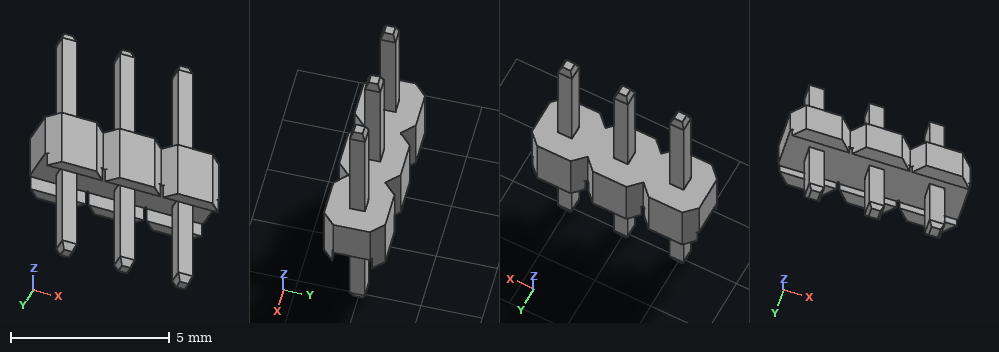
import cadquery as cq
import math

pin_count = 3
pitch = 2.0
housing_height = 2.0
corner_chamfer = 0.4

channel_width = 1.295
channel_depth = 0.5

pin_width = 0.5
pin_above_housing = 4.0
pin_below_housing = 2.8
tip_width = 0.3
taper_angle = 20
taper_length = (pin_width - tip_width) / 2 / math.tan(math.radians(taper_angle))

row_length = pin_count * pitch
pin_positions = [(i - (pin_count - 1) / 2) * pitch for i in range(pin_count)]


def make_cell(x):
    """One octagonal housing cell standing on Z = 0."""
    return (
        cq.Workplane("XY")
        .center(x, 0)
        .rect(pitch, pitch)
        .extrude(housing_height)
        .edges("|Z")
        .chamfer(corner_chamfer)
    )


def make_channel():
    """Cutter for the open-ended channel under the housing."""
    return cq.Workplane("XY").rect(row_length, channel_width).extrude(channel_depth)


def make_pin(x):
    """Square pin whose cross-section narrows towards both tips."""
    bottom = -pin_below_housing
    top = housing_height + pin_above_housing
    half_width = pin_width / 2
    half_tip = tip_width / 2
    profile = [
        (-half_tip, bottom),
        (half_tip, bottom),
        (half_width, bottom + taper_length),
        (half_width, top - taper_length),
        (half_tip, top),
        (-half_tip, top),
        (-half_width, top - taper_length),
        (-half_width, bottom + taper_length),
    ]
    front = cq.Workplane("XZ").polyline(profile).close().extrude(half_width, both=True)
    side = cq.Workplane("YZ").polyline(profile).close().extrude(half_width, both=True)
    return front.intersect(side).translate((x, 0, 0))


housing = make_cell(pin_positions[0])
for x in pin_positions[1:]:
    housing = housing.union(make_cell(x))
result = housing.cut(make_channel())

for x in pin_positions:
    result = result.union(make_pin(x))